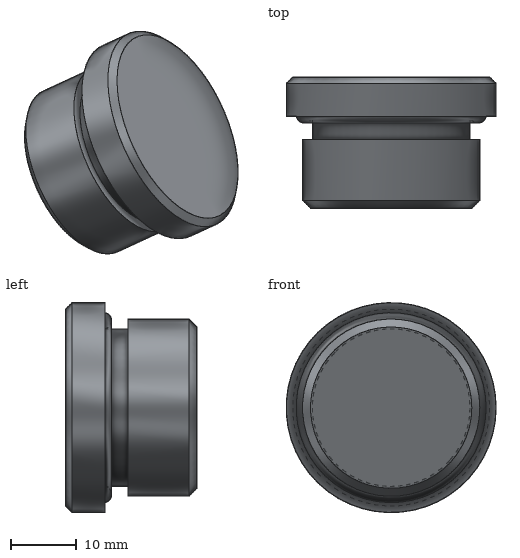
import cadquery as cq

length = 20.0
flange_radius = 32 / 2
flange_thickness = 6.0
flange_chamfer = 1.0
shank_radius = 27.0 / 2
shank_length = 10.5
shank_chamfer = 1.2
neck_radius = 24 / 2

ring_section_radius = 1.25
ring_protrusion = 1.0

shank_front = -length / 2
shank_back = shank_front + shank_length
flange_back = length / 2
flange_front = flange_back - flange_thickness


def make_body():
    """Revolve the half section of shank, neck and flange around Y."""
    profile = [
        (0, shank_front),
        (shank_radius - shank_chamfer, shank_front),
        (shank_radius, shank_front + shank_chamfer),
        (shank_radius, shank_back),
        (neck_radius, shank_back),
        (neck_radius, flange_front),
        (flange_radius, flange_front),
        (flange_radius, flange_back - flange_chamfer),
        (flange_radius - flange_chamfer, flange_back),
        (0, flange_back),
    ]
    return cq.Workplane("XY").polyline(profile).close().revolve(360, (0, 0, 0), (0, 1, 0))


def make_sealing_ring():
    """Round ring whose inner side touches the neck."""
    center_radius = neck_radius + ring_section_radius
    center_y = flange_front - ring_protrusion + ring_section_radius
    return (
        cq.Workplane("XY")
        .center(center_radius, center_y)
        .circle(ring_section_radius)
        .revolve(360, (-center_radius, 0, 0), (-center_radius, 1, 0))
    )


result = make_body().union(make_sealing_ring())